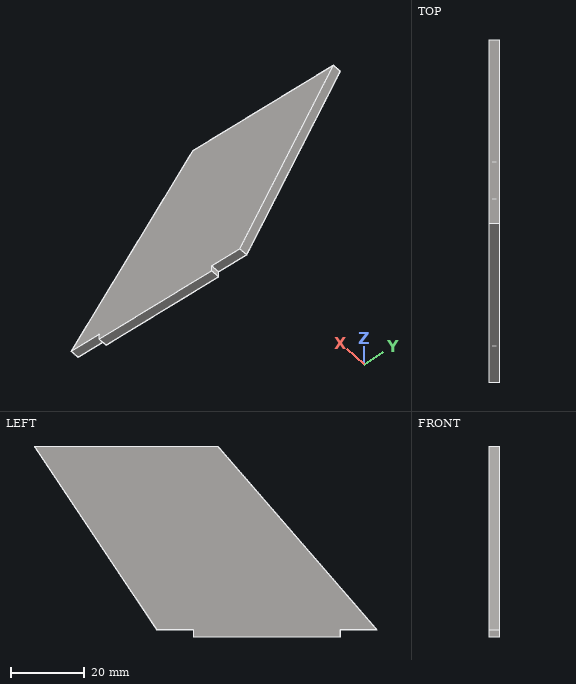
import cadquery as cq

thickness = 3.0
overall_length = 93.4
overall_height = 51.95
top_length = 50.1
root_length = 60.1
tab_depth = 2.0
tab_inset = 10.0

fin_height = overall_height - tab_depth
tab_length = root_length - 2 * tab_inset


def make_fin():
    """Swept plate with its root on Z = 0, starting at Y = 0."""
    outline = [
        (0, 0),
        (root_length, 0),
        (overall_length, fin_height),
        (overall_length - top_length, fin_height),
    ]
    return cq.Workplane("YZ").polyline(outline).close().extrude(thickness)


def make_tab():
    """Mounting tab below the root, as thick as the fin."""
    return cq.Workplane("XY").box(thickness, tab_length, tab_depth, centered=False).translate(
        (0, tab_inset, -tab_depth)
    )


result = make_fin().union(make_tab())